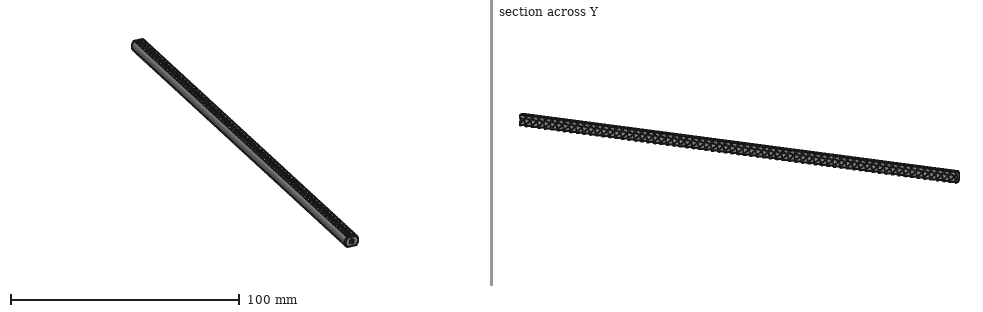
import cadquery as cq
import math

LENGTH = 212.5
ROD_DIAMETER = 6.6
HEIGHT = 5.0
END_CHAMFER = 0.3
BORE_DIAMETER = 2.0

HOLE_COUNT = 68
HOLE_DIAMETER = 2.0
HOLE_CHAMFER = 0.3

GROOVE_LENGTH = 4.3
GROOVE_WIDTH = 0.5
GROOVE_DEPTH = 0.2

HALF_HEIGHT = HEIGHT / 2
HOLE_PITCH = LENGTH / HOLE_COUNT
HALF_FLAT = math.sqrt(ROD_DIAMETER**2 - HEIGHT**2) / 2
HOLE_MOUTH_RADIUS = HOLE_DIAMETER / 2 + HOLE_CHAMFER
GROOVE_Y = -(HOLE_MOUTH_RADIUS + HALF_FLAT) / 2


def make_bar():
    """Rod along X with top and bottom flats and chamfered end edges."""
    rod_radius = ROD_DIAMETER / 2
    return (
        cq.Workplane("YZ")
        .moveTo(-HALF_FLAT, -HALF_HEIGHT)
        .lineTo(HALF_FLAT, -HALF_HEIGHT)
        .threePointArc((rod_radius, 0), (HALF_FLAT, HALF_HEIGHT))
        .lineTo(-HALF_FLAT, HALF_HEIGHT)
        .threePointArc((-rod_radius, 0), (-HALF_FLAT, -HALF_HEIGHT))
        .close()
        .extrude(LENGTH / 2, both=True)
        .faces("<X or >X")
        .chamfer(END_CHAMFER)
    )


def make_bore():
    """Round bore along the full length of the bar."""
    return cq.Workplane("YZ").circle(BORE_DIAMETER / 2).extrude(LENGTH / 2, both=True)


def hole_centres():
    """Evenly pitched points along X, the outer ones half a pitch in from the ends."""
    return cq.Workplane("XY").rarray(HOLE_PITCH, HOLE_PITCH, HOLE_COUNT, 1)


def make_holes():
    """Vertical through holes."""
    return hole_centres().circle(HOLE_DIAMETER / 2).extrude(HALF_HEIGHT, both=True)


def make_hole_chamfers(side):
    """Cones that chamfer the hole mouths on the top (side=1) or bottom (side=-1) flat."""
    cone = cq.Solid.makeCone(
        HOLE_MOUTH_RADIUS,
        HOLE_DIAMETER / 2,
        HOLE_CHAMFER,
        pnt=cq.Vector(0, 0, side * HALF_HEIGHT),
        dir=cq.Vector(0, 0, -side),
    )
    return hole_centres().eachpoint(cone)


def make_end_groove():
    """Shallow groove along the top flat, open at the -X end."""
    return (
        cq.Workplane("XY")
        .box(GROOVE_LENGTH, GROOVE_WIDTH, GROOVE_DEPTH, centered=(False, True, False))
        .translate((-LENGTH / 2, GROOVE_Y, HALF_HEIGHT - GROOVE_DEPTH))
    )


result = (
    make_bar()
    .cut(make_bore())
    .cut(make_holes())
    .cut(make_hole_chamfers(1))
    .cut(make_hole_chamfers(-1))
    .cut(make_end_groove())
)